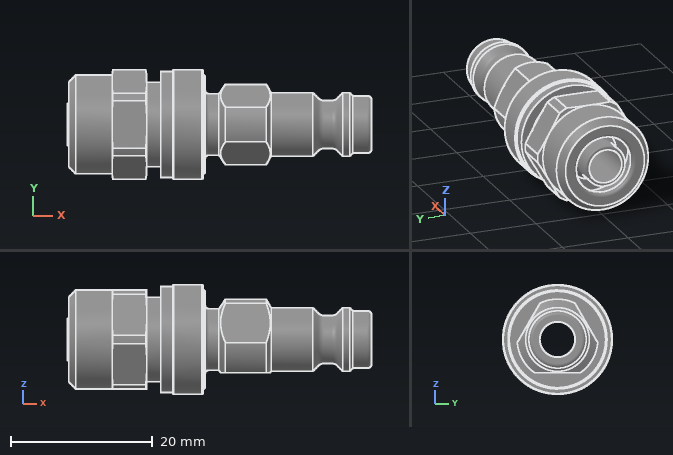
import cadquery as cq
import math


TOTAL_LENGTH = 43.0
BORE_DIA = 4.95

NUT_START = 0.2
NUT_LENGTH = 11.0
NUT_END = NUT_START + NUT_LENGTH
NUT_DIA = 14.0
NUT_CHAMFER = 1.0
NUT_HEX_LENGTH = 4.87
NUT_HEX_START = NUT_END - NUT_HEX_LENGTH
NUT_HEX_SIDES = 6
NUT_HEX_FLATS = NUT_DIA
NUT_HEX_TURN = 180 / NUT_HEX_SIDES
NUT_HEX_CORNER_DIA = 15.5
NUT_HEX_CHAMFER_AXIAL = 0.12
NUT_HEX_CHAMFER_RADIAL = 0.6
HOSE_HOLE_DIA = 8.4
HOSE_HOLE_ROUNDING = 0.5
HOSE_LIP_LENGTH = 0.8

SPIGOT_DIA = 6.05
SPIGOT_TIP_ROUNDING = 0.2
CONE_START = 3.0
CONE_END = 5.35
CONE_DIA = 7.55
STUB_DIA = 11.15

NECK_DIA = 12.0
COLLAR_START = 13.2
COLLAR_DIA = 15.0

RING_START = 14.87
RING_LENGTH = 4.3
RING_END = RING_START + RING_LENGTH
RING_DIA = 15.5
RING_SEAT_DIA = 14.0
RING_CHAMFER_AXIAL = 0.2
RING_CHAMFER_RADIAL = 0.1
SEAT_END = 19.5
SEAT_CHAMFER = 0.2

SHANK_DIA = 8.7
SHANK_FILLET = 0.5

WRENCH_DIA = 11.4
WRENCH_FLAT_DISTANCE = 4.7
WRENCH_FLAT_COUNT = 3
WRENCH_FRONT_END = 22.33
WRENCH_BACK_START = 28.1
WRENCH_FRONT_ANGLE = 56.0
WRENCH_BACK_ANGLE = 60.0

NIPPLE_DIA = 9.0
GROOVE_START = 34.7
GROOVE_END = 38.9
GROOVE_DIA = 6.83
GROOVE_FILLET = 1.0
FLANK_ANGLE = 45.0
LAND_END = 39.9
TIP_DIA = 8.1
TIP_ROUNDING = 0.6


def revolve(profile):
    """Turn a closed (x, radius) profile about the X axis."""
    return profile.close().revolve(360, (0, 0, 0), (1, 0, 0))


def cylinder(start, end, diameter):
    return cq.Workplane("YZ").workplane(offset=start).circle(diameter / 2).extrude(end - start)


def make_nut():
    body = cylinder(NUT_START, NUT_END, NUT_DIA).faces("<X").edges().chamfer(NUT_CHAMFER)

    hexagon = (
        cq.Workplane("YZ")
        .workplane(offset=NUT_HEX_START)
        .polygon(NUT_HEX_SIDES, NUT_HEX_FLATS, circumscribed=True)
        .extrude(NUT_HEX_LENGTH)
        .rotate((0, 0, 0), (1, 0, 0), NUT_HEX_TURN)
    )
    corner_radius = NUT_HEX_CORNER_DIA / 2
    chamfered_radius = corner_radius - NUT_HEX_CHAMFER_RADIAL
    corner_limit = revolve(
        cq.Workplane("XY")
        .moveTo(NUT_HEX_START, 0)
        .lineTo(NUT_HEX_START, chamfered_radius)
        .lineTo(NUT_HEX_START + NUT_HEX_CHAMFER_AXIAL, corner_radius)
        .lineTo(NUT_END - NUT_HEX_CHAMFER_AXIAL, corner_radius)
        .lineTo(NUT_END, chamfered_radius)
        .lineTo(NUT_END, 0)
    )
    body = body.union(hexagon.intersect(corner_limit))

    body = body.cut(cylinder(NUT_START, NUT_END, HOSE_HOLE_DIA))
    mouth = cq.selectors.RadiusNthSelector(0)
    body = body.faces("<X").edges(mouth).fillet(HOSE_HOLE_ROUNDING)
    return body.cut(cylinder(NUT_START + HOSE_LIP_LENGTH, NUT_END, STUB_DIA))


def make_ring():
    return revolve(
        cq.Workplane("XY")
        .moveTo(RING_START, RING_SEAT_DIA / 2)
        .lineTo(RING_START, RING_DIA / 2 - RING_CHAMFER_RADIAL)
        .lineTo(RING_START + RING_CHAMFER_AXIAL, RING_DIA / 2)
        .lineTo(RING_END - RING_CHAMFER_AXIAL, RING_DIA / 2)
        .lineTo(RING_END, RING_DIA / 2 - RING_CHAMFER_RADIAL)
        .lineTo(RING_END, RING_SEAT_DIA / 2)
    )


def make_hose_side():
    """Spigot, threaded stub, neck, collar and ring seat."""
    profile = (
        cq.Workplane("XY")
        .moveTo(0, 0)
        .lineTo(0, SPIGOT_DIA / 2 - SPIGOT_TIP_ROUNDING)
        .radiusArc((SPIGOT_TIP_ROUNDING, SPIGOT_DIA / 2), SPIGOT_TIP_ROUNDING)
        .lineTo(CONE_START, SPIGOT_DIA / 2)
        .lineTo(CONE_END, CONE_DIA / 2)
        .lineTo(CONE_END, STUB_DIA / 2)
        .lineTo(NUT_END, STUB_DIA / 2)
        .lineTo(NUT_END, NECK_DIA / 2)
        .lineTo(COLLAR_START, NECK_DIA / 2)
        .lineTo(COLLAR_START, COLLAR_DIA / 2)
        .lineTo(RING_START, COLLAR_DIA / 2)
        .lineTo(RING_START, RING_SEAT_DIA / 2)
        .lineTo(SEAT_END - SEAT_CHAMFER, RING_SEAT_DIA / 2)
        .lineTo(SEAT_END, RING_SEAT_DIA / 2 - SEAT_CHAMFER)
        .lineTo(SEAT_END, 0)
    )
    return revolve(profile)


def make_wrench_section():
    """Shank, wrench cylinder with conical ends cut by the flats, and plain nipple length."""
    shank_radius = SHANK_DIA / 2
    wrench_radius = WRENCH_DIA / 2
    front_run = (wrench_radius - shank_radius) / math.tan(math.radians(WRENCH_FRONT_ANGLE))
    back_run = (wrench_radius - NIPPLE_DIA / 2) / math.tan(math.radians(WRENCH_BACK_ANGLE))
    wrench_start = WRENCH_FRONT_END - front_run
    wrench_end = WRENCH_BACK_START + back_run

    section = revolve(
        cq.Workplane("XY")
        .moveTo(SEAT_END, 0)
        .lineTo(SEAT_END, shank_radius + SHANK_FILLET)
        .radiusArc((SEAT_END + SHANK_FILLET, shank_radius), -SHANK_FILLET)
        .lineTo(wrench_start, shank_radius)
        .lineTo(WRENCH_FRONT_END, wrench_radius)
        .lineTo(WRENCH_BACK_START, wrench_radius)
        .lineTo(wrench_end, NIPPLE_DIA / 2)
        .lineTo(GROOVE_START, NIPPLE_DIA / 2)
        .lineTo(GROOVE_START, 0)
    )
    cutter_center = ((wrench_start + wrench_end) / 2, 0, -WRENCH_FLAT_DISTANCE - wrench_radius)
    flat_cutter = (
        cq.Workplane("XY")
        .box(wrench_end - wrench_start, WRENCH_DIA, WRENCH_DIA)
        .translate(cutter_center)
    )
    for index in range(WRENCH_FLAT_COUNT):
        angle = index * 360 / WRENCH_FLAT_COUNT
        section = section.cut(flat_cutter.rotate((0, 0, 0), (1, 0, 0), angle))
    return section


def make_nipple_end():
    """Locking groove with sloping flanks, land and rounded tip."""
    nipple_radius = NIPPLE_DIA / 2
    groove_radius = GROOVE_DIA / 2
    tip_radius = TIP_DIA / 2
    fillet_run = GROOVE_FILLET * math.sin(math.radians(FLANK_ANGLE))
    fillet_rise = GROOVE_FILLET * (1 - math.cos(math.radians(FLANK_ANGLE)))
    flank_foot_radius = groove_radius + fillet_rise
    flank_run = (nipple_radius - flank_foot_radius) / math.tan(math.radians(FLANK_ANGLE))
    front_foot = GROOVE_START + flank_run
    back_foot = GROOVE_END - flank_run
    return revolve(
        cq.Workplane("XY")
        .moveTo(GROOVE_START, 0)
        .lineTo(GROOVE_START, nipple_radius)
        .lineTo(front_foot, flank_foot_radius)
        .radiusArc((front_foot + fillet_run, groove_radius), -GROOVE_FILLET)
        .lineTo(back_foot - fillet_run, groove_radius)
        .radiusArc((back_foot, flank_foot_radius), -GROOVE_FILLET)
        .lineTo(GROOVE_END, nipple_radius)
        .lineTo(LAND_END, nipple_radius)
        .lineTo(LAND_END + nipple_radius - tip_radius, tip_radius)
        .lineTo(TOTAL_LENGTH - TIP_ROUNDING, tip_radius)
        .radiusArc((TOTAL_LENGTH, tip_radius - TIP_ROUNDING), TIP_ROUNDING)
        .lineTo(TOTAL_LENGTH, 0)
    )


def make_main_body():
    body = make_hose_side().union(make_wrench_section()).union(make_nipple_end())
    return body.cut(cylinder(0, TOTAL_LENGTH, BORE_DIA))


nut = make_nut()
ring = make_ring()
main_body = make_main_body()

result = cq.Compound.makeCompound([nut.val(), ring.val(), main_body.val()])